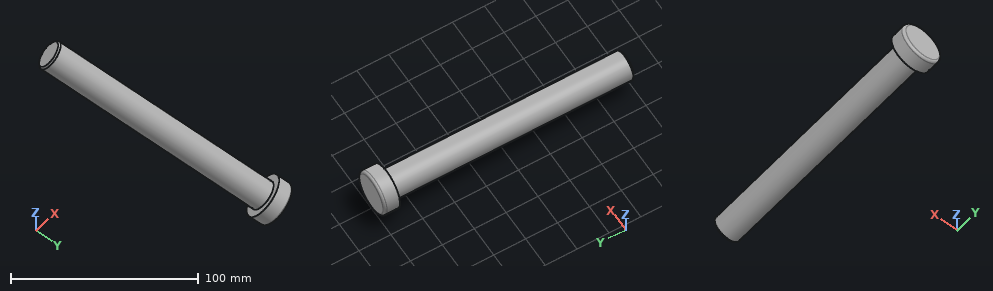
import cadquery as cq
import math

total_length = 160.0
head_diameter = 27.0
head_length = 10.0
shank_diameter = 18.0
head_edge_radius = 1.6
tip_chamfer = 1.0

head_radius = head_diameter / 2
shank_radius = shank_diameter / 2
tip_y = -total_length / 2
head_top_y = total_length / 2
head_seat_y = head_top_y - head_length

arc_inset = head_edge_radius * (1 - math.sqrt(0.5))
arc_middle = (head_radius - arc_inset, head_top_y - arc_inset)

half_profile = (
    cq.Workplane("XY")
    .moveTo(0, tip_y)
    .lineTo(shank_radius - tip_chamfer, tip_y)
    .lineTo(shank_radius, tip_y + tip_chamfer)
    .lineTo(shank_radius, head_seat_y)
    .lineTo(head_radius, head_seat_y)
    .lineTo(head_radius, head_top_y - head_edge_radius)
    .threePointArc(arc_middle, (head_radius - head_edge_radius, head_top_y))
    .lineTo(0, head_top_y)
    .close()
)

result = half_profile.revolve(360, (0, 0, 0), (0, 1, 0))